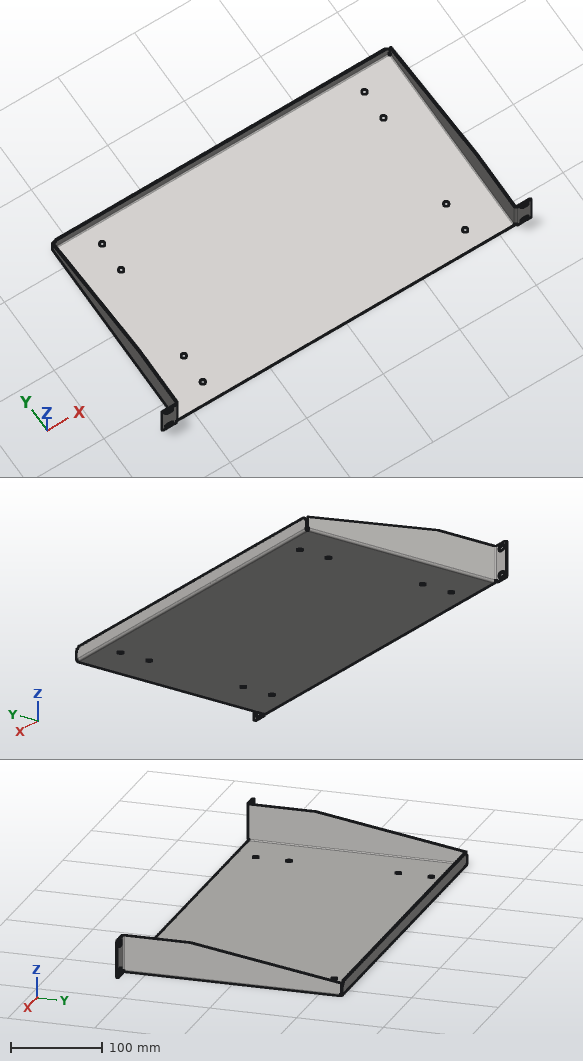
import cadquery as cq

width = 482.8
depth = 254.0
height = 43.5

sheet = 1.6
inner_radius = 1.2
outer_radius = inner_radius + sheet

tray_half = 221.5
floor_front = sheet
back_height = 17.0
slope_start = 78.5
side_back_height = 16.0
back_corner_chamfer = 5.0
corner_gap = 0.25

ear_corner_radius = 2.5
ear_inner_edge = tray_half + inner_radius
slot_length = 10.0
slot_height = 6.5
slot_x = 232.0
slot_edge_offset = 6.0

hole_diameter = 6.5
hole_x = 171.5
hole_rows = (26.0, 64.0, 190.0, 228.5)


def box(x0, x1, y0, y1, z0, z1):
    """Box between two opposite corners."""
    return cq.Workplane("XY").box(x1 - x0, y1 - y0, z1 - z0, centered=False).translate((x0, y0, z0))


def bend_ring(plane, origin, length):
    """Hollow bend cylinder, extruded along the normal of the plane."""
    return cq.Workplane(plane, origin=origin).circle(outer_radius).circle(inner_radius).extrude(length)


def make_floor():
    half = tray_half - outer_radius
    floor = box(-half, half, floor_front, depth - outer_radius, 0, sheet)
    holes = [(side * hole_x, y) for side in (-1, 1) for y in hole_rows]
    cutter = cq.Workplane("XY").pushPoints(holes).circle(hole_diameter / 2).extrude(sheet)
    return floor.cut(cutter)


def make_back():
    """Back wall with clipped top corners and the bend joining it to the floor."""
    half = tray_half - outer_radius
    bend_y = depth - outer_radius
    bend = bend_ring("YZ", (-half, bend_y, outer_radius), 2 * half)
    bend = bend.intersect(box(-half, half, bend_y, depth, 0, outer_radius))
    wall_half = tray_half - sheet - corner_gap
    wall = box(-wall_half, wall_half, depth - sheet, depth, outer_radius, back_height)
    wall = wall.edges("|Y and >Z").chamfer(back_corner_chamfer)
    return bend.union(wall)


def make_right_side():
    """Tapered side wall with its floor bend, ear bend and rack ear."""
    bend_x = tray_half - outer_radius
    wall_back = depth - sheet
    bend_back = depth - outer_radius

    wall = (
        cq.Workplane("YZ", origin=(tray_half - sheet, 0, 0))
        .moveTo(outer_radius, outer_radius)
        .lineTo(wall_back, outer_radius)
        .lineTo(wall_back, side_back_height)
        .lineTo(slope_start, height)
        .lineTo(outer_radius, height)
        .close()
        .extrude(sheet)
    )

    floor_bend = bend_ring("XZ", (bend_x, bend_back, outer_radius), bend_back - floor_front)
    floor_bend = floor_bend.intersect(box(bend_x, tray_half, floor_front, bend_back, 0, outer_radius))

    ear_bend = bend_ring("XY", (ear_inner_edge, outer_radius, outer_radius), height - outer_radius)
    ear_bend = ear_bend.intersect(
        box(tray_half - sheet, ear_inner_edge, 0, outer_radius, outer_radius, height)
    )

    ear = box(ear_inner_edge, width / 2, 0, sheet, 0, height)
    ear = ear.edges("|Y and >X").fillet(ear_corner_radius)
    slots = (
        cq.Workplane("XZ")
        .pushPoints([(slot_x, slot_edge_offset), (slot_x, height - slot_edge_offset)])
        .slot2D(slot_length, slot_height)
        .extrude(-sheet)
    )
    return wall.union(floor_bend).union(ear_bend).union(ear.cut(slots))


right_side = make_right_side()
left_side = right_side.mirror("YZ")
tray = make_floor().union(make_back()).union(right_side).union(left_side)

result = tray.translate((0, -depth / 2, 0))